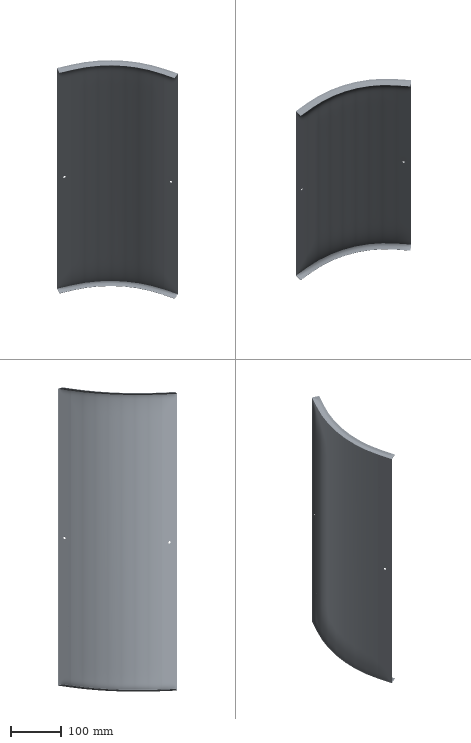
import cadquery as cq
import math

overall_x = 102.24
overall_y = 221.57
overall_z = 602.0

sheet_thickness = 0.8
flange_length = 30.0
bend_angle = 45.0
hole_diameter = 5.0

bend = math.radians(bend_angle)

tangent_length = overall_y / (1 + math.cos(bend))
outer_radius = (tangent_length - flange_length) / math.tan(bend / 2)
plate_width = (overall_x - tangent_length * math.sin(bend)) / math.cos(bend)


def outline_point(distance_along_flange, angle, depth):
    """Point at an angle along the bend, then further along its tangent, at a depth inside the outer face."""
    radius = outer_radius - depth
    x = outer_radius - radius * math.cos(angle) + distance_along_flange * math.sin(angle)
    y = flange_length + radius * math.sin(angle) + distance_along_flange * math.cos(angle)
    return (x, y)


def curved_strip(width, height, base_z):
    """Flange, arc, flange strip of the given width, extruded upward from base_z."""
    return (
        cq.Workplane("XY", origin=(0, 0, base_z))
        .moveTo(*outline_point(-flange_length, 0, 0))
        .lineTo(*outline_point(0, 0, 0))
        .threePointArc(outline_point(0, bend / 2, 0), outline_point(0, bend, 0))
        .lineTo(*outline_point(flange_length, bend, 0))
        .lineTo(*outline_point(flange_length, bend, width))
        .lineTo(*outline_point(0, bend, width))
        .threePointArc(outline_point(0, bend / 2, width), outline_point(0, 0, width))
        .lineTo(*outline_point(-flange_length, 0, width))
        .close()
        .extrude(height)
    )


def flange_hole(distance_along_flange, angle):
    """Cutter through the sheet, square to the flange and at mid height."""
    start_x, start_y = outline_point(distance_along_flange, angle, -sheet_thickness)
    inward = cq.Vector(math.cos(angle), -math.sin(angle), 0)
    start = cq.Vector(start_x, start_y, overall_z / 2)
    cutter_length = 3 * sheet_thickness
    return cq.Solid.makeCylinder(hole_diameter / 2, cutter_length, start, inward)


result = curved_strip(sheet_thickness, overall_z, 0)
for plate_z in (0, overall_z - sheet_thickness):
    result = result.union(curved_strip(plate_width, sheet_thickness, plate_z))

result = result.cut(flange_hole(-flange_length / 2, 0))
result = result.cut(flange_hole(flange_length / 2, bend))